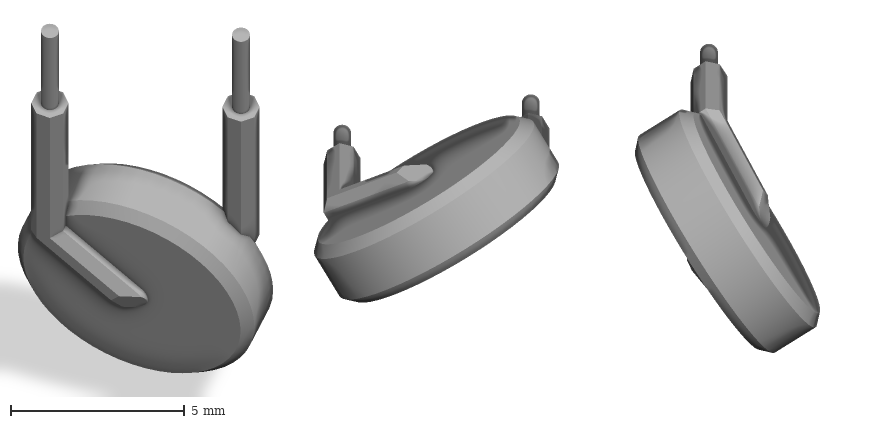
import cadquery as cq
import math

DISC_RADIUS = 3.7
DISC_THICKNESS = 2.01
DISC_CHAMFER = 0.3

TOP_Z = 15.1 - DISC_RADIUS
WIRE_RADIUS = 0.25
WIRE_LENGTH = 3.49
SLEEVE_SIDES = 8
SLEEVE_WIDTH = 1.0
LEAD_OFFSET = 2.57
BEND_HEIGHT = 2.0
END_BEVEL_START = 0.41

sleeve_radius = SLEEVE_WIDTH / 2
face_y = -DISC_THICKNESS / 2
sleeve_top = TOP_Z - WIRE_LENGTH
bend_angle = math.degrees(math.atan2(BEND_HEIGHT, LEAD_OFFSET))
arm_length = math.hypot(LEAD_OFFSET, BEND_HEIGHT)


def make_disc():
    disc = cq.Workplane("XZ", origin=(0, -face_y, 0)).circle(DISC_RADIUS).extrude(DISC_THICKNESS)
    return disc.faces("|Y").edges().chamfer(DISC_CHAMFER)


def along_arm(shape):
    """Turn a shape built along +X at the origin into the direction of the sloping arm."""
    return shape.rotate((0, 0, 0), (0, 1, 0), bend_angle)


def make_sleeve():
    """Octagonal sleeve that bends towards the disc axis, with a mitred corner."""
    end_scale = 1 + sleeve_radius / arm_length
    end_x = -LEAD_OFFSET + LEAD_OFFSET * end_scale
    end_z = BEND_HEIGHT - BEND_HEIGHT * end_scale
    path = (
        cq.Workplane("XZ", origin=(0, face_y, 0))
        .moveTo(-LEAD_OFFSET, sleeve_top)
        .lineTo(-LEAD_OFFSET, BEND_HEIGHT)
        .lineTo(end_x, end_z)
    )
    corner_diameter = SLEEVE_WIDTH / math.cos(math.pi / SLEEVE_SIDES)
    half_facet = 180 / SLEEVE_SIDES
    return (
        cq.Workplane("XY", origin=(-LEAD_OFFSET, face_y, sleeve_top))
        .transformed(rotate=(0, 0, half_facet))
        .polygon(SLEEVE_SIDES, corner_diameter)
        .sweep(path, transition="right")
    )


def finish_arm_end(sleeve):
    """Round the arm about the disc axis and bevel it down to the disc face."""
    reach = 2 * TOP_Z
    arm_side = cq.Workplane("XY").box(reach, reach, reach).translate((-reach / 2, 0, 0))
    round_end = cq.Workplane("XZ").circle(sleeve_radius).extrude(reach / 2, both=True)
    envelope = along_arm(arm_side).union(round_end)
    outer_y = face_y - sleeve_radius
    bevel = (
        cq.Workplane("XY")
        .moveTo(-END_BEVEL_START, outer_y)
        .lineTo(sleeve_radius, face_y)
        .lineTo(sleeve_radius, outer_y)
        .close()
        .extrude(SLEEVE_WIDTH, both=True)
    )
    return sleeve.intersect(envelope).cut(along_arm(bevel))


def make_lead():
    wire = (
        cq.Workplane("XY", origin=(-LEAD_OFFSET, face_y, sleeve_top))
        .circle(WIRE_RADIUS)
        .extrude(WIRE_LENGTH)
    )
    return finish_arm_end(make_sleeve()).union(wire)


front_lead = make_lead()
back_lead = front_lead.rotate((0, 0, 0), (0, 0, 1), 180)
result = make_disc().union(front_lead).union(back_lead)